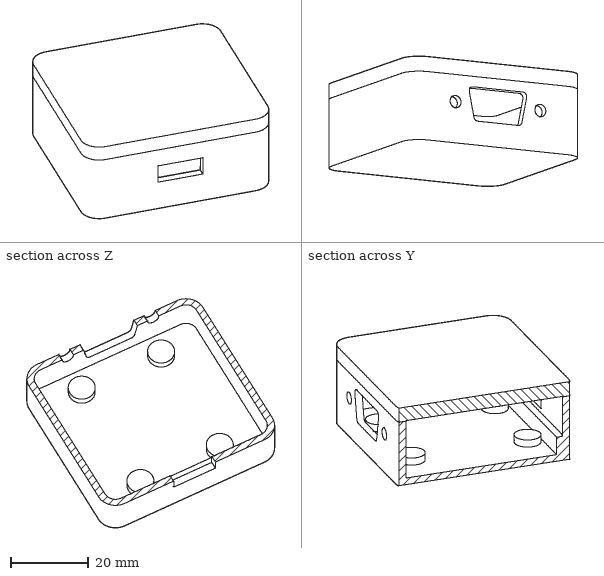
import cadquery as cq

length_x = 48.0
width_y = 51.0
height = 22.0
corner_radius = 5.0
lid_thickness = 4.0
wall = 2.0
base_height = height - lid_thickness

opening_bottom = 6.3
opening_top = 15.25
opening_bottom_half_width = 6.9
opening_top_half_width = 8.7
opening_radius = 1.15
screw_hole_diameter = 3.2
screw_hole_spacing = 25.0
screw_hole_height = 10.85

window_width = 12.2
window_bottom = 8.1
window_height = 5.0
ledge_top = 6.9
ledge_depth = wall

post_diameter = 7.0
post_height = 2.0
post_x = 16.05
post_y = 11.65


def rounded_block(size_x, size_y, radius, bottom, block_height):
    """Upright block with rounded vertical edges."""
    block = cq.Workplane("XY", origin=(0, 0, bottom)).rect(size_x, size_y).extrude(block_height)
    return block.edges("|Z").fillet(radius)


def make_cavity():
    """Open-topped interior, less the ledge along the +X wall."""
    inner_x = length_x - 2 * wall
    cavity = rounded_block(
        inner_x, width_y - 2 * wall, corner_radius - wall, wall, base_height - wall
    )
    ledge = cq.Workplane("XY").box(
        ledge_depth, width_y, ledge_top, centered=(False, True, False)
    ).translate((inner_x / 2 - ledge_depth, 0, 0))
    return cavity.cut(ledge)


def make_connector_cutter():
    """Tapered connector opening and its two screw holes, through the -X wall."""
    outer_face = cq.Workplane("YZ", origin=(-length_x / 2, 0, 0))
    opening = (
        outer_face
        .moveTo(-opening_bottom_half_width, opening_bottom)
        .lineTo(opening_bottom_half_width, opening_bottom)
        .lineTo(opening_top_half_width, opening_top)
        .lineTo(-opening_top_half_width, opening_top)
        .close()
        .extrude(wall)
        .edges("|X")
        .fillet(opening_radius)
    )
    screw_holes = (
        outer_face
        .pushPoints([(side * screw_hole_spacing / 2, screw_hole_height) for side in (-1, 1)])
        .circle(screw_hole_diameter / 2)
        .extrude(wall)
    )
    return opening.union(screw_holes)


def make_window_cutter():
    """Rectangular window through the +X wall."""
    return (
        cq.Workplane("YZ", origin=(length_x / 2, 0, window_bottom + window_height / 2))
        .rect(window_width, window_height)
        .extrude(-wall)
    )


def make_posts():
    """Four round posts, sunk through the floor thickness so they join it fully."""
    return (
        cq.Workplane("XY")
        .rect(2 * post_x, 2 * post_y, forConstruction=True)
        .vertices()
        .circle(post_diameter / 2)
        .extrude(wall + post_height)
    )


def make_base():
    """Open box with connector opening, window, ledge and posts."""
    shell = rounded_block(length_x, width_y, corner_radius, 0, base_height)
    shell = shell.cut(make_cavity()).union(make_posts())
    return shell.cut(make_connector_cutter()).cut(make_window_cutter())


def make_lid():
    """Flat cover plate resting on the base rim."""
    return rounded_block(length_x, width_y, corner_radius, base_height, lid_thickness)


base = make_base()
lid = make_lid()

result = cq.Compound.makeCompound([base.val(), lid.val()])